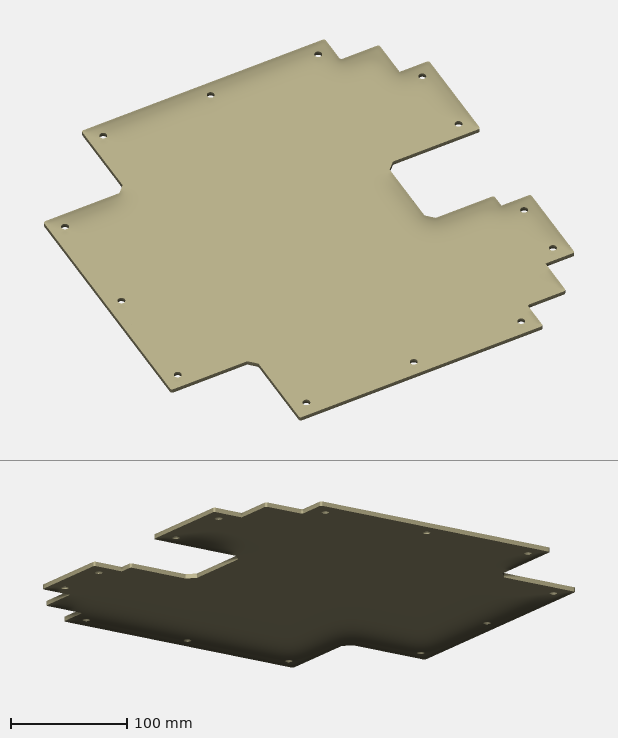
import cadquery as cq

width = 398.0
depth = 386.0
thickness = 4.0
half_width = width / 2
rear = depth / 2
front = -depth / 2

shoulder_half_width = 170.5
tower_half_width = 133.0
slot_half_width = 39.0
front_tab_half_width = 116.5
right_tower_inner_x = 52.5
shoulder_y = rear - 28.5
wing_rear_y = rear - 66.5
slot_floor_y = rear - 92.7
wing_front_y = rear - 304.5

inner_chamfer = 7.0
corner_radius = 2.0

hole_diameter = 6.8
hole_inset = 14.0

outline = [
    (-front_tab_half_width, front),
    (-front_tab_half_width, wing_front_y),
    (-half_width, wing_front_y),
    (-half_width, wing_rear_y),
    (-shoulder_half_width, wing_rear_y),
    (-shoulder_half_width, shoulder_y),
    (-tower_half_width, shoulder_y),
    (-tower_half_width, rear),
    (-slot_half_width, rear),
    (-slot_half_width, slot_floor_y),
    (slot_half_width, slot_floor_y),
    (slot_half_width, shoulder_y),
    (right_tower_inner_x, shoulder_y),
    (right_tower_inner_x, rear),
    (tower_half_width, rear),
    (tower_half_width, shoulder_y),
    (shoulder_half_width, shoulder_y),
    (shoulder_half_width, wing_rear_y),
    (half_width, wing_rear_y),
    (half_width, wing_front_y),
    (front_tab_half_width, wing_front_y),
    (front_tab_half_width, front),
]

chamfered_corners = [
    (side * x, y)
    for side in (-1, 1)
    for x, y in (
        (slot_half_width, slot_floor_y),
        (front_tab_half_width, wing_front_y),
    )
]

rounded_corners = [
    (side * x, y)
    for side in (-1, 1)
    for x, y in (
        (front_tab_half_width, front),
        (half_width, wing_front_y),
        (half_width, wing_rear_y),
        (shoulder_half_width, wing_rear_y),
        (shoulder_half_width, shoulder_y),
        (tower_half_width, rear),
    )
] + [
    (-slot_half_width, rear),
    (slot_half_width, shoulder_y),
    (right_tower_inner_x, rear),
]


def vertical_edges(body, corners):
    """Select the upright edges of the plate standing at the given corners."""
    def at_corner(edge):
        center = edge.Center()
        return any(cq.Vector(x, y, center.z).sub(center).Length < 0.005 for x, y in corners)

    return body.edges("|Z").filter(at_corner)


def hole_centers():
    """Return the screw hole centres, each set in from a nearby outside edge."""
    tower_y = rear - hole_inset
    tower_xs = (
        -tower_half_width + hole_inset,
        -slot_half_width - hole_inset,
        right_tower_inner_x + hole_inset,
        tower_half_width - hole_inset,
    )
    wing_x = half_width - hole_inset
    wing_ys = (
        wing_rear_y - hole_inset,
        (wing_rear_y + wing_front_y) / 2,
        wing_front_y + hole_inset,
    )
    tab_x = front_tab_half_width - hole_inset
    tower_holes = [(x, tower_y) for x in tower_xs]
    wing_holes = [(side * wing_x, y) for side in (-1, 1) for y in wing_ys]
    tab_holes = [(x, front + hole_inset) for x in (-tab_x, 0, tab_x)]
    return tower_holes + wing_holes + tab_holes


plate = cq.Workplane("XY").polyline(outline).close().extrude(thickness)
plate = vertical_edges(plate, chamfered_corners).chamfer(inner_chamfer)
plate = vertical_edges(plate, rounded_corners).fillet(corner_radius)

result = (
    plate.faces(">Z")
    .workplane(origin=(0, 0, thickness))
    .pushPoints(hole_centers())
    .hole(hole_diameter)
)